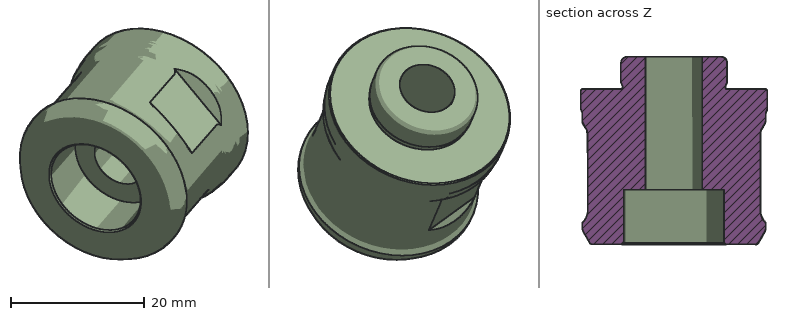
import cadquery as cq
import math

TOTAL_LENGTH = 28.2
FLANGE_FACE_Y = 23.35

BODY_RADIUS = 25.97 / 2
COLLAR_RADIUS = 27.6 / 2
FLANGE_RADIUS = 28.0 / 2
SPIGOT_RADIUS = 16.0 / 2

SLOPE = math.radians(30)
NOSE_FACE_RADIUS = 12.25
NOSE_EDGE_ROUND = 0.5
NOSE_SHOULDER_ROUND = 1.5
FRONT_LAND_END_Y = 3.25
RUN_OUT_END_Y = 5.15

REAR_SLOPE_START_Y = 16.58
REAR_SLOPE_ROUND = 1.5
REAR_LAND_END_Y = 19.63
FLANGE_EDGE_CHAMFER = 0.2
SHORTEST_EDGE = 0.003

SPIGOT_ROUND = 1.0
UNDERCUT_START_Y = 24.36
UNDERCUT_SLOPE_END_Y = 23.97
UNDERCUT_DEEPEST_Y = 23.72
UNDERCUT_RADIUS = 7.75
UNDERCUT_SIDE_RADIUS = 7.85

BORE_RADIUS = 8.5 / 2
COUNTERBORE_RADIUS = 15.0 / 2
COUNTERBORE_DEPTH = 8.2
COUNTERBORE_CHAMFER = 0.25

FLAT_DISTANCE = 11.98
FLAT_START_Y = 8.43
FLAT_END_Y = 17.37
FLAT_END_ANGLE = math.radians(32.5)
FLAT_DIRECTIONS = (45, 225)


def rounded_step(profile, radius, y, rise, blend):
    """Climb by rise toward +Y: concave arc, 30 degree slope, convex arc."""
    arc_rise = blend * (1 - math.cos(SLOPE))
    arc_run = blend * math.sin(SLOPE)
    slope_run = (rise - 2 * arc_rise) / math.tan(SLOPE)
    mid_rise = blend * (1 - math.cos(SLOPE / 2))
    mid_run = blend * math.sin(SLOPE / 2)
    top_radius = radius + rise
    end_y = y + 2 * arc_run + slope_run

    profile = profile.threePointArc(
        (radius + mid_rise, y + mid_run), (radius + arc_rise, y + arc_run)
    )
    if slope_run > SHORTEST_EDGE:
        profile = profile.lineTo(top_radius - arc_rise, end_y - arc_run)
    return profile.threePointArc((top_radius - mid_rise, end_y - mid_run), (top_radius, end_y))


def turned_body():
    """Solid of revolution about Y, without bores or flats."""
    profile = cq.Workplane("XY").moveTo(0, 0).lineTo(NOSE_FACE_RADIUS, 0)

    turn = math.pi / 2 - SLOPE
    cone_start_radius = NOSE_FACE_RADIUS + NOSE_EDGE_ROUND * math.sin(turn)
    cone_start_y = NOSE_EDGE_ROUND * (1 - math.cos(turn))
    profile = profile.threePointArc(
        (
            NOSE_FACE_RADIUS + NOSE_EDGE_ROUND * math.sin(turn / 2),
            NOSE_EDGE_ROUND * (1 - math.cos(turn / 2)),
        ),
        (cone_start_radius, cone_start_y),
    )

    cone_end_radius = COLLAR_RADIUS - NOSE_SHOULDER_ROUND * (1 - math.cos(SLOPE))
    cone_end_y = cone_start_y + (cone_end_radius - cone_start_radius) / math.tan(SLOPE)
    land_start_y = cone_end_y + NOSE_SHOULDER_ROUND * math.sin(SLOPE)
    profile = profile.lineTo(cone_end_radius, cone_end_y)
    profile = profile.threePointArc(
        (
            COLLAR_RADIUS - NOSE_SHOULDER_ROUND * (1 - math.cos(SLOPE / 2)),
            land_start_y - NOSE_SHOULDER_ROUND * math.sin(SLOPE / 2),
        ),
        (COLLAR_RADIUS, land_start_y),
    )
    profile = profile.lineTo(COLLAR_RADIUS, FRONT_LAND_END_Y)

    run = RUN_OUT_END_Y - FRONT_LAND_END_Y
    drop = COLLAR_RADIUS - BODY_RADIUS
    run_out_round = (run**2 + drop**2) / (2 * drop)
    half_turn = math.asin(run / run_out_round) / 2
    profile = profile.threePointArc(
        (
            BODY_RADIUS + run_out_round * (1 - math.cos(half_turn)),
            RUN_OUT_END_Y - run_out_round * math.sin(half_turn),
        ),
        (BODY_RADIUS, RUN_OUT_END_Y),
    )
    profile = profile.lineTo(BODY_RADIUS, REAR_SLOPE_START_Y)

    collar_rise = COLLAR_RADIUS - BODY_RADIUS
    profile = rounded_step(profile, BODY_RADIUS, REAR_SLOPE_START_Y, collar_rise, REAR_SLOPE_ROUND)
    profile = profile.lineTo(COLLAR_RADIUS, REAR_LAND_END_Y)
    flange_rise = FLANGE_RADIUS - COLLAR_RADIUS
    flange_blend = flange_rise / (2 * (1 - math.cos(SLOPE)))
    profile = rounded_step(profile, COLLAR_RADIUS, REAR_LAND_END_Y, flange_rise, flange_blend)
    profile = profile.lineTo(FLANGE_RADIUS, FLANGE_FACE_Y - FLANGE_EDGE_CHAMFER)
    profile = profile.lineTo(FLANGE_RADIUS - FLANGE_EDGE_CHAMFER, FLANGE_FACE_Y)

    profile = profile.lineTo(UNDERCUT_SIDE_RADIUS, FLANGE_FACE_Y)
    profile = profile.threePointArc(
        (UNDERCUT_RADIUS, UNDERCUT_DEEPEST_Y), (UNDERCUT_SIDE_RADIUS, UNDERCUT_SLOPE_END_Y)
    )
    profile = profile.lineTo(SPIGOT_RADIUS, UNDERCUT_START_Y)
    profile = profile.lineTo(SPIGOT_RADIUS, TOTAL_LENGTH - SPIGOT_ROUND)
    round_offset = SPIGOT_ROUND * (1 - math.cos(math.pi / 4))
    profile = profile.threePointArc(
        (SPIGOT_RADIUS - round_offset, TOTAL_LENGTH - round_offset),
        (SPIGOT_RADIUS - SPIGOT_ROUND, TOTAL_LENGTH),
    )
    profile = profile.lineTo(0, TOTAL_LENGTH)
    return profile.close().revolve(360, (0, 0), (0, 1))


def bores():
    """Through bore and front counterbore with a chamfered mouth."""
    mouth_radius = COUNTERBORE_RADIUS + COUNTERBORE_CHAMFER
    return (
        cq.Workplane("XY")
        .moveTo(0, 0)
        .lineTo(mouth_radius, 0)
        .lineTo(COUNTERBORE_RADIUS, COUNTERBORE_CHAMFER)
        .lineTo(COUNTERBORE_RADIUS, COUNTERBORE_DEPTH)
        .lineTo(BORE_RADIUS, COUNTERBORE_DEPTH)
        .lineTo(BORE_RADIUS, TOTAL_LENGTH)
        .lineTo(0, TOTAL_LENGTH)
        .close()
        .revolve(360, (0, 0), (0, 1))
    )


def flat_cutter(direction):
    """Trapezoidal cutter for one wrench flat, turned to face the given angle from +X toward +Z."""
    depth = FLANGE_RADIUS - FLAT_DISTANCE
    flare = depth * math.tan(FLAT_END_ANGLE)
    return (
        cq.Workplane("XY")
        .moveTo(FLAT_DISTANCE, FLAT_START_Y)
        .lineTo(FLANGE_RADIUS, FLAT_START_Y - flare)
        .lineTo(FLANGE_RADIUS, FLAT_END_Y + flare)
        .lineTo(FLAT_DISTANCE, FLAT_END_Y)
        .close()
        .extrude(FLANGE_RADIUS, both=True)
        .rotate((0, 0, 0), (0, 1, 0), -direction)
    )


result = turned_body().cut(bores())
for flat_direction in FLAT_DIRECTIONS:
    result = result.cut(flat_cutter(flat_direction))